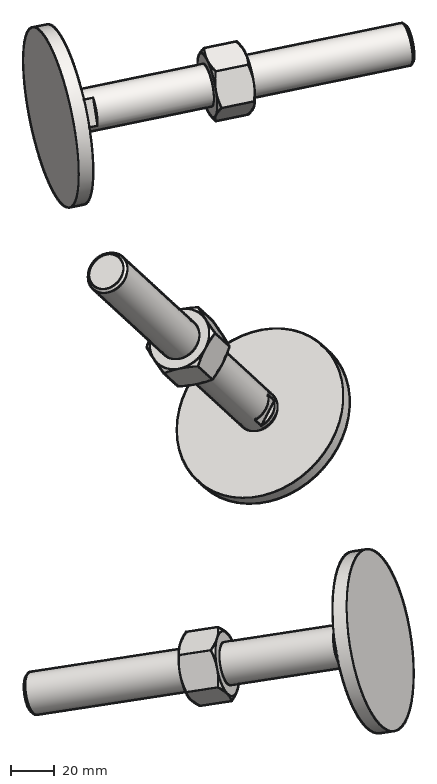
import cadquery as cq
import math

overall_length = 171.0

plate_diameter = 84.0
plate_thickness = 7.0
seat_height = 1.0
seat_base_radius = 8.0
seat_top_radius = 7.4

stud_diameter = 20.0
stud_radius = stud_diameter / 2
stud_start = plate_thickness + seat_height
end_chamfer = 1.4

flats_across = 15.0
flats_start = 12.5
flats_length = 6.7
flats_angle = 30.0

nut_across_flats = 30.0
nut_across_corners = nut_across_flats / math.cos(math.radians(30))
nut_start = 74.7
nut_height = 18.1
nut_chamfer_angle = 30.0


def section_at(y):
    """Workplane at height y, facing +Y, with its local X along global X."""
    return cq.Workplane(cq.Plane(origin=(0, y, 0), xDir=(1, 0, 0), normal=(0, 1, 0)))


def make_foot_plate():
    disc = section_at(0).circle(plate_diameter / 2).extrude(plate_thickness)
    seat_profile = [
        (0, plate_thickness),
        (seat_base_radius, plate_thickness),
        (seat_top_radius, stud_start),
        (0, stud_start),
    ]
    seat = cq.Workplane("XY").polyline(seat_profile).close().revolve(360, (0, 0), (0, 1))
    return disc.union(seat)


def make_flat_cutter(angle):
    """Block that leaves one flat facing the given direction."""
    cut_depth = stud_radius
    return (
        section_at(flats_start)
        .center(flats_across / 2 + cut_depth / 2, 0)
        .rect(cut_depth, stud_diameter)
        .extrude(flats_length)
        .rotate((0, 0, 0), (0, 1, 0), -angle)
    )


def make_stud():
    stud = section_at(stud_start).circle(stud_radius).extrude(overall_length - stud_start)
    stud = stud.faces("<Y").edges().chamfer(end_chamfer)
    stud = stud.faces(">Y").edges().chamfer(end_chamfer)
    for angle in (flats_angle, flats_angle + 180):
        stud = stud.cut(make_flat_cutter(angle))
    return stud


def make_nut():
    hexagon = section_at(nut_start).polygon(6, nut_across_corners).extrude(nut_height)

    end_radius = nut_across_flats / 2
    corner_radius = nut_across_corners / 2
    corner_drop = (corner_radius - end_radius) * math.tan(math.radians(nut_chamfer_angle))
    nut_end = nut_start + nut_height
    envelope_profile = [
        (0, nut_start),
        (end_radius, nut_start),
        (corner_radius, nut_start + corner_drop),
        (corner_radius, nut_end - corner_drop),
        (end_radius, nut_end),
        (0, nut_end),
    ]
    envelope = cq.Workplane("XY").polyline(envelope_profile).close().revolve(360, (0, 0), (0, 1))
    bore = section_at(nut_start).circle(stud_radius).extrude(nut_height)
    return hexagon.intersect(envelope).cut(bore)


foot_plate = make_foot_plate()
stud = make_stud()
nut = make_nut()

bodies = [body.solids().val() for body in (foot_plate, stud, nut)]
result = cq.Compound.makeCompound(bodies)